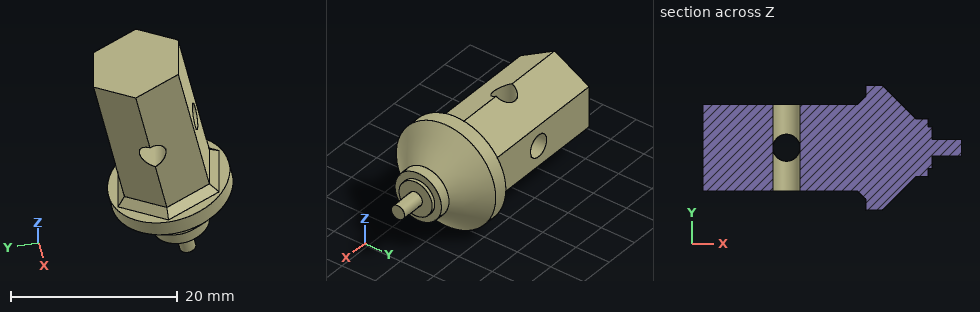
import cadquery as cq
import math

hex_end = 18.5
collar_start = 19.5
collar_end = 21.5
cone_end = 25.5
neck_end = 27.0
step_end = 27.5
total_length = 31.0

collar_diameter = 15.0
neck_diameter = 7.0
step_diameter = 5.0
pin_diameter = 2.0

hex_corner_radius = 12.0 / 2
flare_length = collar_start - hex_end
flare_corner_radius = hex_corner_radius + flare_length / math.cos(math.radians(30))

hole_diameter = 3.2
hole_x = 10.0


def hexagon_points(corner_radius):
    """Corners of a hexagon in the YZ plane, the first one on +Z."""
    angles = [math.radians(90 + 60 * i) for i in range(6)]
    return [(corner_radius * math.cos(a), corner_radius * math.sin(a)) for a in angles]


def make_shank():
    """Hexagonal bar that flares out just before the collar."""
    bar = cq.Workplane("YZ").polyline(hexagon_points(hex_corner_radius)).close().extrude(hex_end)
    flare = (
        cq.Workplane("YZ", origin=(hex_end, 0, 0))
        .polyline(hexagon_points(hex_corner_radius))
        .close()
        .workplane(offset=flare_length)
        .polyline(hexagon_points(flare_corner_radius))
        .close()
        .loft(ruled=True)
    )
    return bar.union(flare)


def make_turned_end():
    """Collar, cone, stepped neck and pin, revolved about the X axis."""
    profile = [
        (collar_start, 0),
        (collar_start, collar_diameter / 2),
        (collar_end, collar_diameter / 2),
        (cone_end, neck_diameter / 2),
        (neck_end, neck_diameter / 2),
        (neck_end, step_diameter / 2),
        (step_end, step_diameter / 2),
        (step_end, pin_diameter / 2),
        (total_length, pin_diameter / 2),
        (total_length, 0),
    ]
    return cq.Workplane("XY").polyline(profile).close().revolve(360, (0, 0, 0), (1, 0, 0))


def make_cross_hole(plane):
    """Cutter that passes right through the shank, square to the given plane."""
    return (
        cq.Workplane(plane)
        .center(hole_x, 0)
        .circle(hole_diameter / 2)
        .extrude(collar_diameter / 2, both=True)
    )


result = make_shank().union(make_turned_end())
for hole_plane in ("XZ", "XY"):
    result = result.cut(make_cross_hole(hole_plane))